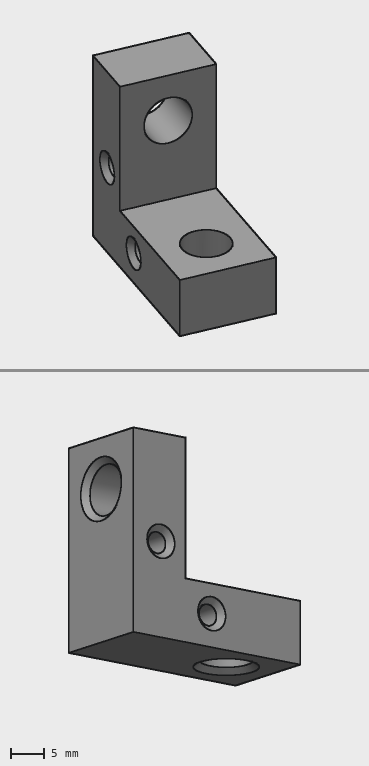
import cadquery as cq

leg_length = 32.0
width = 16.0
leg_thickness = 10.0

large_diameter = 8.0
large_from_corner = 24.0

small_diameter = 3.33
small_along_leg = 15.0
small_from_outer_face = 5.25

chamfer_depth = 1.0


def chamfered_hole(entry, direction, diameter, depth):
    """Cutter running from the entry point, with a 45 degree chamfer at the entry."""
    radius = diameter / 2
    start = cq.Vector(*entry)
    axis = cq.Vector(*direction)
    bore = cq.Solid.makeCylinder(radius, depth, start, axis)
    cone = cq.Solid.makeCone(radius + chamfer_depth, radius, chamfer_depth, start, axis)
    return cq.Workplane(bore).union(cq.Workplane(cone))


result = (
    cq.Workplane("XZ")
    .polyline([
        (0, 0),
        (leg_length, 0),
        (leg_length, leg_thickness),
        (leg_thickness, leg_thickness),
        (leg_thickness, leg_length),
        (0, leg_length),
    ])
    .close()
    .extrude(-width)
)

upright_entry = (0, width / 2, large_from_corner)
base_entry = (large_from_corner, width / 2, 0)
result = result.cut(chamfered_hole(upright_entry, (1, 0, 0), large_diameter, leg_thickness))
result = result.cut(chamfered_hole(base_entry, (0, 0, 1), large_diameter, leg_thickness))

for x, z in [
    (small_from_outer_face, small_along_leg),
    (small_along_leg, small_from_outer_face),
]:
    result = result.cut(chamfered_hole((x, 0, z), (0, 1, 0), small_diameter, width))